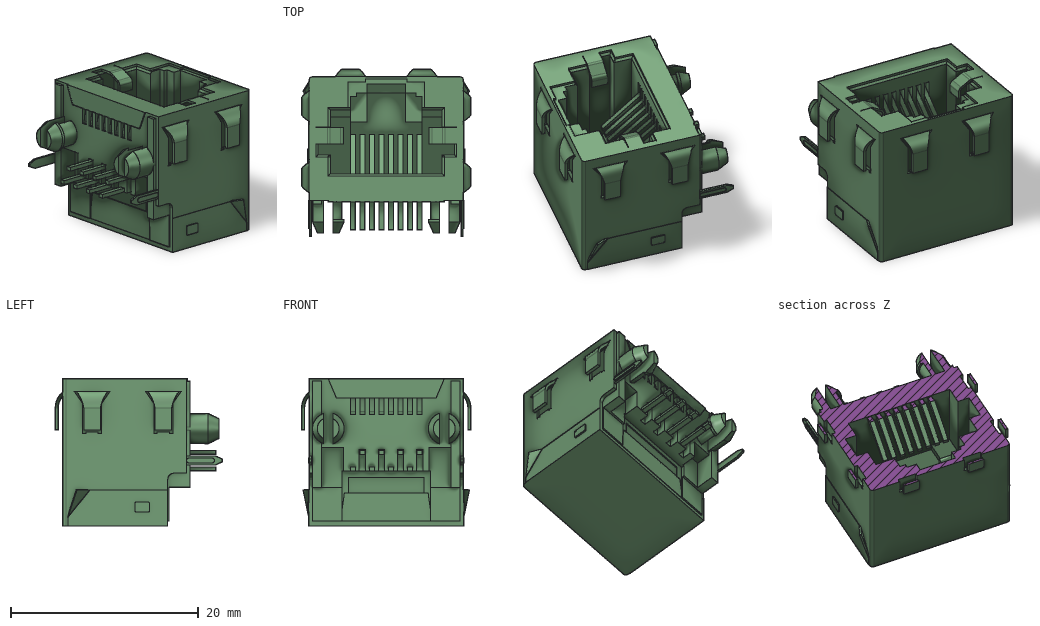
import cadquery as cq
import math


height = 15.74
shell_half_width = 8.23
shell_depth = 13.2
shell_wall = 0.36
back_corner_radius = 0.36
shell_step_y = 2.0
shell_step_top = 5.64
shell_step_radius = 0.65

plate_half_width = 8.28
plate_top = 3.83
plate_back_y = 12.64
latch_bump_height = 0.14
latch_bump_y = (3.96, 5.49)
latch_bump_z = (1.5, 2.56)
latch_bump_radius = 0.12

flap_tip_x = 8.87
flap_tip_y = 11.68
flap_fold_y = 10.3
flap_bottom_z = 0.95
flap_thickness = 0.2

lip_half_top = 6.2
lip_half_bottom = 5.32
lip_bottom = 13.67
lip_thickness = 0.13

spring_reach = 0.8
spring_thickness = 0.33
spring_outer_radius = 2.16
spring_root_overlap = 0.01
spring_bend_z = 12.6
spring_bottom = 10.26
spring_width = 1.78
spring_root_width = 3.4
spring_flare_width = 2.16
spring_flare_z = 13.3
side_spring_y = (2.47, 10.06)
back_spring_x = 3.81
window_top = 14.38
window_top_width = 3.83
window_width = 2.04
window_neck_z = 13.1
window_bottom = 9.88
window_bump_width = 1.3
window_bump_height = 0.16

housing_half_width = 7.85
rail_inner_x = 6.89
rail_top = 15.47
rail_bottom = 4.13
rail_front_y = -0.38
housing_low_y = 1.86
housing_floor = 0.52
side_pocket_inner_x = 4.58
side_pocket_top = 8.39
side_pocket_back_y = 1.65
center_half_width = 4.74
center_top = 5.87
center_back_y = 2.0
insert_half_top = 4.46
insert_half_bottom = 4.72
insert_top = 3.54
insert_taper_end = 1.7
insert_front_y = 1.96
insert_window_half_width = 4.02
insert_window_top = 5.2
insert_window_back_y = 2.1

contact_count = 8
contact_pitch = 1.016
contact_width = 0.54
pin_thickness = 0.42
pin_end_y = -3.14
low_pin_z = 6.11
high_pin_z = 7.87
pin_slot_width = 0.68
pin_slot_top = 8.19
pin_slot_depth = 1.0
contact_window_bottom = 11.92
contact_tip_y = 7.02
contact_tip_z = 8.6
contact_root_y = 0.22
contact_root_z = 12.2
contact_mid = (0.34, 13.0)
contact_crest = (0.75, 13.9)
contact_thickness = 0.3

post_x = 6.19
post_z = 10.4
post_slit = 1.0
post_root_y = 0.5
post_outer_radius = 1.67
post_inner_radius = 1.47
post_barb_radius = 1.7
post_tip_radius = 1.16
post_barb_y = -2.0
post_taper_y = -2.3
post_tip_y = -3.47

shield_pin_x = (7.98, 8.21)
shield_pin_z = 7.0
shield_pin_width = 1.0
shield_pin_tip_width = 0.3
shield_pin_taper_y = -3.08
shield_pin_tip_y = -3.82
shield_rib_height = 0.07
shield_rib_width = 0.53
shield_rib_end_y = -2.98

cavity_half_width = 6.2
cavity_y = (2.62, 9.91)
cavity_chamfer = 0.23
cavity_chamfer_angle = 45
cavity_ear_half_width = 7.5
cavity_ear_y = (4.64, 7.85)
cavity_floor = 4.0
latch_ledge_z = 7.65
latch_front_y = 8.4
back_ledge_y = 8.93
back_ledge_z = 5.0
contact_bay_half_width = 3.8
contact_bay_floor = 3.4
rear_slot_floor = 3.4
rear_ledge_z = 4.6
rear_slot_back_y = 12.44
rear_slot_front_y = 11.49
rear_slot_half_width = 2.06
shell_latch_steps = ((4.09, 12.66), (2.2, 12.95))
shell_opening_depth = 0.25
housing_latch_steps = ((contact_bay_half_width, 11.07), (3.15, rear_slot_front_y))

tab_y = (6.01, 7.8)
tab_thickness = 0.25
tab_tip_x = 4.58
tab_bend_x = 6.1
tab_slope = math.radians(28)
tab_bend_radius = 0.57
tab_drop = 2.0


def box(x, y, z):
    """Axis-aligned box from three (low, high) ranges."""
    size = (x[1] - x[0], y[1] - y[0], z[1] - z[0])
    return cq.Workplane("XY").box(*size, centered=False).translate((x[0], y[0], z[0]))


def centered_box(half_width, y, z):
    return box((-half_width, half_width), y, z)


def both_sides(shape):
    """The shape together with its mirror image about X = 0."""
    return shape.union(shape.mirror("YZ"))


def extrude_x(sketch, x):
    """Extrude a YZ sketch over an X range."""
    return sketch.extrude(x[1] - x[0]).translate((x[0], 0, 0))


def extrude_y(sketch, y):
    """Extrude an XZ sketch (whose normal is -Y) over a Y range."""
    return sketch.extrude(y[1] - y[0]).translate((0, y[1], 0))


def make_shell():
    profile = (
        cq.Workplane("YZ")
        .moveTo(shell_step_y, 0)
        .lineTo(shell_depth, 0)
        .lineTo(shell_depth, height)
        .lineTo(0, height)
        .lineTo(0, shell_step_top)
        .lineTo(shell_step_y - shell_step_radius, shell_step_top)
        .radiusArc((shell_step_y, shell_step_top - shell_step_radius), shell_step_radius)
        .close()
    )
    shell = extrude_x(profile, (-shell_half_width, shell_half_width))
    shell = shell.edges("|Z and >Y").fillet(back_corner_radius)
    plate_profile = cq.Workplane("YZ").polyline([
        (shell_step_y, 0),
        (plate_back_y, 0),
        (plate_back_y, flap_bottom_z),
        (flap_fold_y, plate_top),
        (shell_step_y, plate_top),
    ]).close()
    plate = extrude_x(plate_profile, (-plate_half_width, plate_half_width))
    bump_half_width = plate_half_width + latch_bump_height
    bumps = centered_box(bump_half_width, latch_bump_y, latch_bump_z).edges("|X").fillet(latch_bump_radius)
    return shell.union(plate).union(bumps)


def make_flap():
    """Triangular corner of the cover plate folded outward."""
    tip = cq.Vector(flap_tip_x, flap_tip_y, plate_top)
    fold_top = cq.Vector(plate_half_width, flap_fold_y, plate_top)
    fold_bottom = cq.Vector(plate_half_width, plate_back_y, flap_bottom_z)
    normal = (tip - fold_top).cross(fold_bottom - fold_top)
    if normal.x > 0:
        normal = normal * -1
    face = cq.Face.makeFromWires(cq.Wire.makePolygon([tip, fold_top, fold_bottom], close=True))
    sheet = cq.Solid.extrudeLinear(face, normal.normalized() * flap_thickness)
    return cq.Workplane("XY").newObject([sheet])


def make_housing_front():
    """Rails and stepped lower face of the housing on the board side."""
    rail = box((rail_inner_x, housing_half_width), (rail_front_y, shell_step_y), (rail_bottom, rail_top))
    web = centered_box(rail_inner_x, (0, shell_step_y), (rail_bottom, shell_step_top))
    lower = centered_box(housing_half_width, (housing_low_y, shell_step_y), (housing_floor, rail_bottom))
    return both_sides(rail).union(web).union(lower)


def make_lip():
    outline = cq.Workplane("XZ").polyline([
        (-lip_half_top, height),
        (lip_half_top, height),
        (lip_half_bottom, lip_bottom),
        (-lip_half_bottom, lip_bottom),
    ]).close()
    return extrude_y(outline, (-lip_thickness, 0))


def make_front_recesses():
    side = box(
        (side_pocket_inner_x, rail_inner_x),
        (rail_front_y, side_pocket_back_y),
        (rail_bottom, side_pocket_top),
    )
    center = centered_box(center_half_width, (rail_front_y, center_back_y), (housing_floor, center_top))
    window = centered_box(
        insert_window_half_width,
        (center_back_y, insert_window_back_y),
        (insert_top, insert_window_top),
    )
    return both_sides(side).union(center).union(window)


def make_insert():
    """Tapered plate closing the lower part of the center recess."""
    outline = cq.Workplane("XZ").polyline([
        (-center_half_width, housing_floor),
        (center_half_width, housing_floor),
        (insert_half_bottom, insert_taper_end),
        (insert_half_top, insert_top),
        (-insert_half_top, insert_top),
        (-insert_half_bottom, insert_taper_end),
    ]).close()
    return extrude_y(outline, (insert_front_y, insert_window_back_y))


def spring_positions(shape):
    """Copies of a +X facing shape (X = 0 on the shell face) at every spring location."""
    shapes = cq.Workplane("XY")
    for y in side_spring_y:
        shapes = shapes.union(both_sides(shape.translate((shell_half_width, y, 0))))
    turned = shape.rotate((0, 0, 0), (0, 0, 1), 90)
    return shapes.union(both_sides(turned.translate((back_spring_x, shell_depth, 0))))


def make_spring_window():
    top = window_top_width / 2
    side = window_width / 2
    bump = window_bump_width / 2
    bump_z = window_bottom + window_bump_height
    outline = cq.Workplane("YZ").polyline([
        (-top, window_top),
        (top, window_top),
        (side, window_neck_z),
        (side, window_bottom),
        (bump, window_bottom),
        (bump, bump_z),
        (-bump, bump_z),
        (-bump, window_bottom),
        (-side, window_bottom),
        (-side, window_neck_z),
    ]).close()
    return extrude_x(outline, (-shell_wall, 0))


def make_spring():
    """Curved tongue that leaves the shell at the top and hangs straight down."""
    inner_radius = spring_outer_radius - spring_thickness
    bend_x = spring_reach - spring_outer_radius
    root_x = -shell_wall - spring_root_overlap
    root_angle = math.acos((root_x - bend_x) / spring_outer_radius)

    def bend_point(radius, angle):
        return (bend_x + radius * math.cos(angle), spring_bend_z + radius * math.sin(angle))

    profile = (
        cq.Workplane("XZ")
        .moveTo(spring_reach, spring_bottom)
        .lineTo(spring_reach, spring_bend_z)
        .threePointArc(
            bend_point(spring_outer_radius, root_angle / 2),
            bend_point(spring_outer_radius, root_angle),
        )
        .lineTo(*bend_point(inner_radius, root_angle))
        .threePointArc(
            bend_point(inner_radius, root_angle / 2),
            bend_point(inner_radius, 0),
        )
        .lineTo(spring_reach - spring_thickness, spring_bottom)
        .close()
    )
    ribbon = extrude_y(profile, (-window_top_width / 2, window_top_width / 2))
    root = spring_root_width / 2
    flare = spring_flare_width / 2
    tip = spring_width / 2
    front = (
        cq.Workplane("YZ")
        .moveTo(-tip, spring_bottom)
        .lineTo(-tip, spring_bend_z)
        .threePointArc((-flare, spring_flare_z), (-root, window_top))
        .lineTo(root, window_top)
        .threePointArc((flare, spring_flare_z), (tip, spring_bend_z))
        .lineTo(tip, spring_bottom)
        .close()
    )
    return ribbon.intersect(extrude_x(front, (root_x, spring_reach)))


def mouth_outline(inset, z):
    """Cross-shaped plug opening outline at height z, shrunk by inset."""
    x_main = cavity_half_width - inset
    x_ear = cavity_ear_half_width - inset
    y_low = cavity_y[0] + inset
    y_high = cavity_y[1] - inset
    ear_low = cavity_ear_y[0] + inset
    ear_high = cavity_ear_y[1] - inset
    right = [
        (x_main, y_low),
        (x_main, ear_low),
        (x_ear, ear_low),
        (x_ear, ear_high),
        (x_main, ear_high),
        (x_main, y_high),
    ]
    left = [(-x, y) for x, y in reversed(right)]
    return cq.Workplane("XY").workplane(offset=z).polyline(right + left).close()


def make_cavity():
    """Plug opening: chamfered mouth, side ears, stepped latch slot and stepped floor."""
    mouth_z = height - shell_opening_depth
    chamfer_z = mouth_z - cavity_chamfer
    wall_y = (cavity_y[0] + cavity_chamfer, cavity_y[1] - cavity_chamfer)

    cavity = mouth_outline(0, mouth_z).extrude(shell_opening_depth)
    cavity = cavity.union(mouth_outline(0, mouth_z).extrude(-cavity_chamfer, taper=cavity_chamfer_angle))
    cavity = cavity.union(mouth_outline(cavity_chamfer, cavity_floor).extrude(chamfer_z - cavity_floor))

    bay = centered_box(contact_bay_half_width, wall_y, (contact_bay_floor, chamfer_z))
    cavity = cavity.union(bay)
    for half_width, y_max in shell_latch_steps:
        cavity = cavity.union(centered_box(half_width, (latch_front_y, y_max), (mouth_z, height)))
    for half_width, y_max in housing_latch_steps:
        cavity = cavity.union(centered_box(half_width, (latch_front_y, y_max), (latch_ledge_z, mouth_z)))
    rear_slot_y = (latch_front_y, rear_slot_back_y)
    rear_slot = centered_box(rear_slot_half_width, rear_slot_y, (rear_slot_floor, mouth_z))
    return cavity.union(rear_slot)


def make_cavity_ledges():
    """Raised floor steps left standing inside the plug cavity."""
    wall_y = cavity_y[1] - cavity_chamfer
    latch = box(
        (rear_slot_half_width, contact_bay_half_width),
        (latch_front_y, wall_y),
        (contact_bay_floor, latch_ledge_z),
    )
    back = box(
        (contact_bay_half_width, cavity_half_width - cavity_chamfer),
        (back_ledge_y, wall_y),
        (cavity_floor, back_ledge_z),
    )
    center = box(
        (-rear_slot_half_width, rear_slot_half_width),
        (rear_slot_front_y, rear_slot_back_y),
        (rear_slot_floor, rear_ledge_z),
    )
    return both_sides(latch.union(back)).union(center)


def make_tab_layer(inset):
    """Solid under the tab surface, shrunk by inset, with both bends rounded."""
    top = height - inset
    tip_x = tab_tip_x + inset
    bend = (tab_bend_x, top)
    tip = (tip_x, top - (tab_bend_x - tip_x) * math.tan(tab_slope))
    outline = cq.Workplane("XZ").polyline([
        (cavity_ear_half_width, top),
        bend,
        tip,
        (tip_x, height - tab_drop),
        (cavity_ear_half_width, height - tab_drop),
    ]).close()
    layer = extrude_y(outline, tab_y)
    for x, z in (bend, tip):
        layer = layer.edges(cq.NearestToPointSelector((x, sum(tab_y) / 2, z))).fillet(tab_bend_radius - inset)
    return layer


def make_tab():
    """Shell tab that slopes into the cavity and ends in a vertical lip."""
    return make_tab_layer(0).cut(make_tab_layer(tab_thickness))


def contact_x(index):
    return (index - (contact_count - 1) / 2) * contact_pitch


def contact_span(index, width):
    return (contact_x(index) - width / 2, contact_x(index) + width / 2)


def make_contact_windows():
    """Windows behind the lip that open the board-side wall into the plug cavity."""
    wall_y = (0, cavity_y[0] + cavity_chamfer)
    windows = cq.Workplane("XY")
    for index in range(contact_count):
        span = contact_span(index, contact_width)
        windows = windows.union(box(span, wall_y, (contact_window_bottom, lip_bottom)))
    return windows


def make_pin_slots():
    slots = cq.Workplane("XY")
    for index in range(1, contact_count, 2):
        span = contact_span(index, pin_slot_width)
        slots = slots.union(box(span, (0, pin_slot_depth), (center_top, pin_slot_top)))
    return slots


def make_contact(index):
    """Spring finger that bends over behind its window and slopes down into the cavity."""
    span = contact_span(index, contact_width)
    profile = (
        cq.Workplane("YZ")
        .moveTo(contact_root_y, contact_window_bottom - contact_thickness)
        .lineTo(contact_root_y, contact_root_z)
        .threePointArc(contact_mid, contact_crest)
        .lineTo(contact_tip_y, contact_tip_z)
        .lineTo(contact_tip_y, contact_tip_z - contact_thickness)
        .lineTo(cavity_y[0], contact_window_bottom - contact_thickness)
        .close()
    )
    return extrude_x(profile, span)


def make_pin(index):
    pin_z = high_pin_z if index % 2 else low_pin_z
    span = contact_span(index, contact_width)
    return box(
        span,
        (pin_end_y, pin_slot_depth),
        (pin_z - pin_thickness / 2, pin_z + pin_thickness / 2),
    )


def make_post_half(shaft_radius, barb_radius):
    """Half of a board post, on the +X side of the slit, centered on X = Z = 0."""
    shaft = cq.Workplane("XZ").circle(shaft_radius).extrude(post_root_y - post_barb_y)
    shaft = shaft.translate((0, post_root_y, 0))
    head_profile = cq.Workplane("XY").polyline([
        (0, post_barb_y),
        (barb_radius, post_barb_y),
        (barb_radius, post_taper_y),
        (post_tip_radius, post_tip_y),
        (0, post_tip_y),
    ]).close()
    body = shaft.union(head_profile.revolve(360, (0, 0, 0), (0, 1, 0)))
    keep = box(
        (post_slit / 2, post_barb_radius),
        (post_tip_y, post_root_y),
        (-post_barb_radius, post_barb_radius),
    )
    return body.intersect(keep)


def make_post():
    outer = make_post_half(post_outer_radius, post_outer_radius)
    inner = make_post_half(post_inner_radius, post_barb_radius).mirror("YZ")
    return outer.union(inner).translate((post_x, 0, post_z))


def make_shield_pin():
    """Pointed ground pin in the plane of the shell side, with a raised rib."""
    half = shield_pin_width / 2
    tip = shield_pin_tip_width / 2
    blade = cq.Workplane("YZ").polyline([
        (shell_step_y, -half),
        (shield_pin_taper_y, -half),
        (shield_pin_tip_y, -tip),
        (shield_pin_tip_y, tip),
        (shield_pin_taper_y, half),
        (shell_step_y, half),
    ]).close()
    rib = (
        cq.Workplane("YZ")
        .center(shield_rib_end_y / 2, 0)
        .slot2D(-shield_rib_end_y, shield_rib_width)
    )
    rib_x = (shield_pin_x[1], shield_pin_x[1] + shield_rib_height)
    pin = extrude_x(blade, shield_pin_x).union(extrude_x(rib, rib_x))
    return pin.translate((0, 0, shield_pin_z))


body = make_shell().union(make_housing_front())
body = body.cut(make_front_recesses()).union(make_insert())
body = body.cut(make_cavity()).union(make_cavity_ledges())
body = body.cut(make_contact_windows()).cut(make_pin_slots())
body = body.cut(spring_positions(make_spring_window()))

body = body.union(make_lip())
body = body.union(spring_positions(make_spring()))
for side_part in (make_flap(), make_tab(), make_post(), make_shield_pin()):
    body = body.union(both_sides(side_part))
for contact in range(contact_count):
    body = body.union(make_contact(contact)).union(make_pin(contact))

result = body